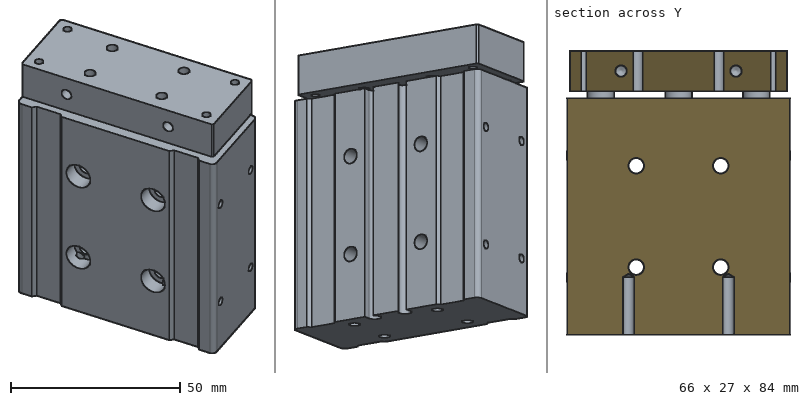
import cadquery as cq
import math


housing_width = 66.0
housing_depth = 27.0
housing_height = 70.0
housing_corner_radius = 1.5

groove_depth = 1.0
groove_inner_x = 18.0
groove_outer_x = 28.0
groove_wall_slope = 45.0

slot_mouth_inner_x = 4.4
slot_mouth_width = 3.0
slot_channel_diameter = 4.0
slot_channel_center_depth = 2.2

mount_spacing_x = 25.0
mount_spacing_z = 30.0
mount_hole_diameter = 4.5
mount_counterbore_diameter = 8.0
mount_counterbore_depth = 5.0

drill_point_angle = 118.0

side_hole_diameter = 2.5
side_hole_depth = 5.0
side_hole_spacing_y = 19.0
side_hole_spacing_z = 36.0

bottom_hole_diameter = 3.3
bottom_hole_depth = 17.0
bottom_hole_spacing_x = 29.5
bottom_hole_spacing_y = 16.0

rod_diameter = 8.0
rod_gap = 2.0
guide_rod_x = 23.0
plate_width = 64.2
plate_depth = 25.0
plate_height = 12.0
plate_corner_chamfer = 0.5

plate_hole_diameter = 3.3
plate_hole_spacing_x = 24.0
plate_hole_spacing_y = 14.0
corner_hole_diameter = 2.5
corner_hole_spacing_x = 56.0
corner_hole_spacing_y = 18.0
front_hole_diameter = 3.3
front_hole_depth = 6.0
front_hole_spacing_x = 34.0

front_y = -housing_depth / 2
back_y = housing_depth / 2
housing_mid_z = housing_height / 2
plate_bottom_z = housing_height + rod_gap
plate_top_z = plate_bottom_z + plate_height


def drilled_hole(diameter, depth, start, direction):
    """Blind hole: a cylinder of the given depth ending in a conical drill point."""
    radius = diameter / 2
    tip_length = radius / math.tan(math.radians(drill_point_angle / 2))
    start_point = cq.Vector(*start)
    axis = cq.Vector(*direction)
    shaft = cq.Solid.makeCylinder(radius, depth, start_point, axis)
    tip = cq.Solid.makeCone(radius, 0, tip_length, start_point + axis * depth, axis)
    return shaft.fuse(tip)


def relief_groove(x_sign, y_sign):
    """Trapezoidal groove with sloping walls, wider at the open face."""
    inset = groove_depth / math.tan(math.radians(groove_wall_slope))
    face_y = y_sign * housing_depth / 2
    floor_y = face_y - y_sign * groove_depth
    outline = [
        (x_sign * groove_inner_x, face_y),
        (x_sign * (groove_inner_x + inset), floor_y),
        (x_sign * (groove_outer_x - inset), floor_y),
        (x_sign * groove_outer_x, face_y),
    ]
    return cq.Workplane("XY").polyline(outline).close().extrude(housing_height)


def sensor_slot(x_sign):
    """Back slot whose round channel is tangent to the outer wall of the mouth."""
    mouth_x = slot_mouth_inner_x + slot_mouth_width / 2
    channel_x = slot_mouth_inner_x + slot_mouth_width - slot_channel_diameter / 2
    channel_y = back_y - slot_channel_center_depth
    mouth = (
        cq.Workplane("XY")
        .center(x_sign * mouth_x, back_y - slot_channel_center_depth / 2)
        .rect(slot_mouth_width, slot_channel_center_depth)
        .extrude(housing_height)
    )
    channel = (
        cq.Workplane("XY")
        .center(x_sign * channel_x, channel_y)
        .circle(slot_channel_diameter / 2)
        .extrude(housing_height)
    )
    return mouth.union(channel)


def build_housing():
    housing = (
        cq.Workplane("XY")
        .rect(housing_width, housing_depth)
        .extrude(housing_height)
        .edges("|Z")
        .fillet(housing_corner_radius)
    )
    for x_sign in (-1, 1):
        housing = housing.cut(sensor_slot(x_sign))
        for y_sign in (-1, 1):
            housing = housing.cut(relief_groove(x_sign, y_sign))

    housing = (
        cq.Workplane("XZ", origin=(0, front_y, housing_mid_z))
        .add(housing)
        .rarray(mount_spacing_x, mount_spacing_z, 2, 2)
        .cboreHole(mount_hole_diameter, mount_counterbore_diameter, mount_counterbore_depth)
    )

    for x_sign in (-1, 1):
        for y_sign in (-1, 1):
            for z_sign in (-1, 1):
                side_start = (
                    x_sign * housing_width / 2,
                    y_sign * side_hole_spacing_y / 2,
                    housing_mid_z + z_sign * side_hole_spacing_z / 2,
                )
                housing = housing.cut(
                    drilled_hole(side_hole_diameter, side_hole_depth, side_start, (-x_sign, 0, 0))
                )
            bottom_start = (x_sign * bottom_hole_spacing_x / 2, y_sign * bottom_hole_spacing_y / 2, 0)
            housing = housing.cut(
                drilled_hole(bottom_hole_diameter, bottom_hole_depth, bottom_start, (0, 0, 1))
            )
    return housing


def build_tool_plate():
    plate = (
        cq.Workplane("XY", origin=(0, 0, plate_bottom_z))
        .rect(plate_width, plate_depth)
        .extrude(plate_height)
        .edges("|Z")
        .chamfer(plate_corner_chamfer)
    )
    plate_holes = (
        cq.Workplane("XY", origin=(0, 0, plate_bottom_z))
        .rarray(plate_hole_spacing_x, plate_hole_spacing_y, 2, 2)
        .circle(plate_hole_diameter / 2)
        .extrude(plate_height)
    )
    corner_holes = (
        cq.Workplane("XY", origin=(0, 0, plate_bottom_z))
        .rarray(corner_hole_spacing_x, corner_hole_spacing_y, 2, 2)
        .circle(corner_hole_diameter / 2)
        .extrude(plate_height)
    )
    plate = plate.cut(plate_holes).cut(corner_holes)
    for x_sign in (-1, 1):
        front_start = (
            x_sign * front_hole_spacing_x / 2,
            -plate_depth / 2,
            (plate_bottom_z + plate_top_z) / 2,
        )
        plate = plate.cut(drilled_hole(front_hole_diameter, front_hole_depth, front_start, (0, 1, 0)))

    rods = (
        cq.Workplane("XY", origin=(0, 0, housing_height))
        .pushPoints([(-guide_rod_x, 0), (0, 0), (guide_rod_x, 0)])
        .circle(rod_diameter / 2)
        .extrude(rod_gap)
    )
    return plate.union(rods)


housing = build_housing()
tool_plate = build_tool_plate()
result = cq.Compound.makeCompound([housing.solids().val(), tool_plate.solids().val()])